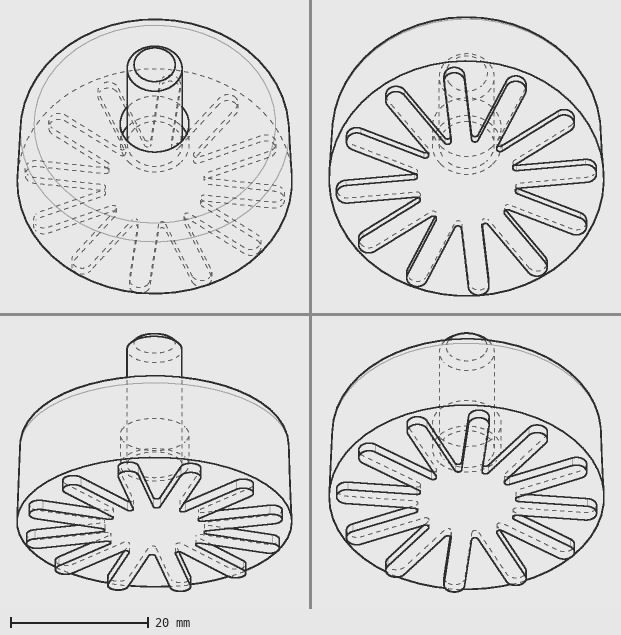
import cadquery as cq
import math

BODY_RADIUS = 20.0
TOP_FACE_Z = 16.0
DRAFT_ANGLE = 2.0
RIM_FILLET = 2.0

STUD_RADIUS = 4.0
STUD_HEIGHT = 15.0
STUD_CHAMFER = 1.0
RECESS_RADIUS = 5.0
RECESS_DEPTH = 5.0

RIB_COUNT = 12
RIB_WIDTH = 3.0
RIB_REACH = 19.0
ROOT_DIAMETER = 1.0

RIB_HEIGHT = RIB_WIDTH / 2
BODY_HEIGHT = TOP_FACE_Z - RIB_HEIGHT
BODY_TOP_RADIUS = BODY_RADIUS - BODY_HEIGHT * math.tan(math.radians(DRAFT_ANGLE))
RECESS_FLOOR_Z = TOP_FACE_Z - RECESS_DEPTH


def cylinder(radius, bottom, height):
    return cq.Workplane("XY").workplane(offset=bottom).circle(radius).extrude(height)


def make_body():
    profile = [
        (0, RIB_HEIGHT),
        (BODY_RADIUS, RIB_HEIGHT),
        (BODY_TOP_RADIUS, TOP_FACE_Z),
        (0, TOP_FACE_Z),
    ]
    disc = cq.Workplane("XZ").polyline(profile).close().revolve(360, (0, 0), (0, 1))
    rounded = disc.faces(">Z").edges().fillet(RIM_FILLET)
    return rounded.cut(cylinder(RECESS_RADIUS, RECESS_FLOOR_Z, RECESS_DEPTH))


def make_stud():
    stud = cylinder(STUD_RADIUS, RECESS_FLOOR_Z, RECESS_DEPTH + STUD_HEIGHT)
    return stud.faces(">Z").edges().chamfer(STUD_CHAMFER)


def make_rib_pair(angle):
    """One slot shape across the full diameter: two opposite ribs."""
    return cq.Workplane("XY").slot2D(2 * RIB_REACH, RIB_WIDTH, angle).extrude(RIB_HEIGHT)


def make_underside():
    star = make_rib_pair(0)
    for index in range(1, RIB_COUNT // 2):
        star = star.union(make_rib_pair(index * 360 / RIB_COUNT))
    inner_zone = cq.selectors.BoxSelector(
        (-RIB_REACH / 2, -RIB_REACH / 2, 0),
        (RIB_REACH / 2, RIB_REACH / 2, RIB_HEIGHT),
    )
    return star.edges("|Z").edges(inner_zone).fillet(ROOT_DIAMETER / 2)


result = make_body().union(make_stud()).union(make_underside())